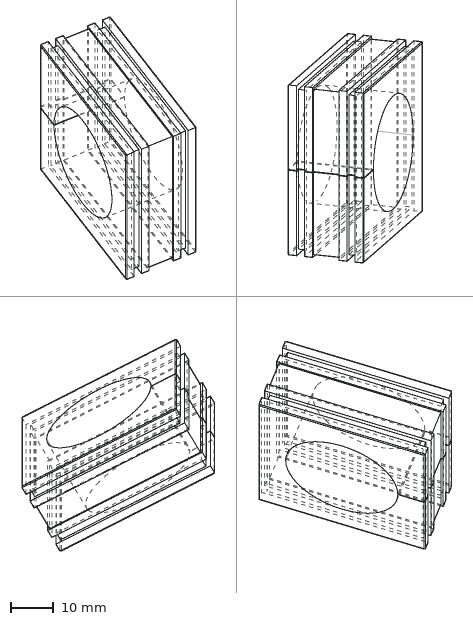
import cadquery as cq

width = 41.5
depth = 19.0
height = 42.0
bore_diameter = 27.97
edge_chamfer = 0.25

center_half_width = 3.28
rib_width = 2.0
side_groove_width = 1.97
center_groove_depth = 0.55
side_groove_depth = 1.25

slit_width = 0.15


def groove_ring(y_center, groove_width, groove_depth):
    """Rectangular ring of material to remove around the block."""
    outer = cq.Workplane("XY").box(width, groove_width, height)
    core = cq.Workplane("XY").box(
        width - 2 * groove_depth, groove_width, height - 2 * groove_depth
    )
    return outer.cut(core).translate((0, y_center, 0))


body = cq.Workplane("XY").box(width, depth, height)
body = body.faces("<Y or >Y").edges().chamfer(edge_chamfer)

body = body.cut(groove_ring(0, 2 * center_half_width, center_groove_depth))
side_groove_y = center_half_width + rib_width + side_groove_width / 2
for side in (-1, 1):
    body = body.cut(groove_ring(side * side_groove_y, side_groove_width, side_groove_depth))

bore = cq.Workplane("XZ").circle(bore_diameter / 2).extrude(depth / 2, both=True)
body = body.cut(bore)

slit = cq.Workplane("XY").box(width / 2, depth, slit_width).translate((-width / 4, 0, 0))
result = body.cut(slit)